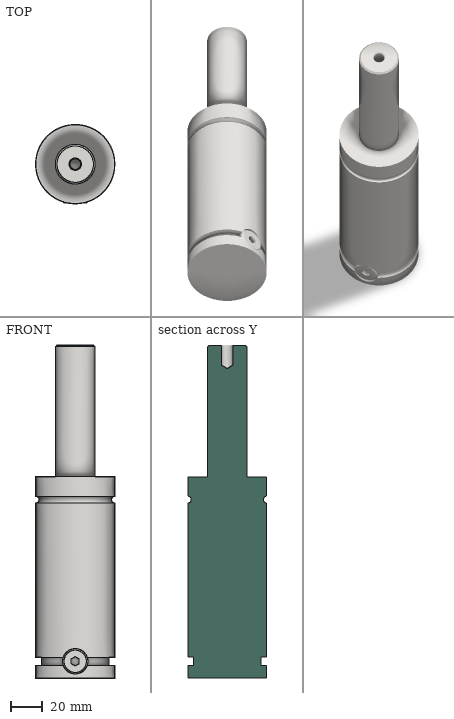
import cadquery as cq
import math

total_height = 210.0
body_diameter = 50.0
body_height = 127.0
rod_diameter = body_diameter / 2
rod_chamfer = 1.0

round_groove_z = 112.5
round_groove_radius = 2.0

square_groove_bottom = 8.2
square_groove_top = 13.2
square_groove_diameter = 42.8

plug_diameter = 16.0
plug_chamfer = 0.95
plug_z = 10.7
plug_recess = 0.6
plug_length = 8.5
socket_across_flats = 5.0
socket_depth = 3.2

rod_hole_diameter = 6.7
rod_hole_depth = 12.5
rod_hole_mouth_diameter = 7.8
drill_point_angle = 118.0


def make_body():
    """Cylinder body with its two ring grooves."""
    body_radius = body_diameter / 2
    body = cq.Workplane("XY").circle(body_radius).extrude(body_height)
    round_groove = (
        cq.Workplane("XZ")
        .center(body_radius, round_groove_z)
        .circle(round_groove_radius)
        .revolve(360, (-body_radius, 0), (-body_radius, 1))
    )
    square_groove = (
        cq.Workplane("XY", origin=(0, 0, square_groove_bottom))
        .circle(body_diameter)
        .circle(square_groove_diameter / 2)
        .extrude(square_groove_top - square_groove_bottom)
    )
    return body.cut(round_groove).cut(square_groove)


def make_rod():
    """Piston rod standing on the body, with a chamfered free end."""
    return (
        cq.Workplane("XY", origin=(0, 0, body_height))
        .circle(rod_diameter / 2)
        .extrude(total_height - body_height)
        .faces(">Z")
        .chamfer(rod_chamfer)
    )


def make_rod_hole():
    """Axial hole in the rod end, as a solid to cut away."""
    hole_radius = rod_hole_diameter / 2
    mouth_radius = rod_hole_mouth_diameter / 2
    mouth_depth = mouth_radius - hole_radius
    point_depth = hole_radius / math.tan(math.radians(drill_point_angle / 2))
    hole_bottom = total_height - rod_hole_depth
    return (
        cq.Workplane("XZ")
        .moveTo(0, total_height)
        .lineTo(mouth_radius, total_height)
        .lineTo(hole_radius, total_height - mouth_depth)
        .lineTo(hole_radius, hole_bottom)
        .lineTo(0, hole_bottom - point_depth)
        .close()
        .revolve(360, (0, 0), (0, 1))
    )


def add_plug(part):
    """Seat a chamfered plug with a hexagon socket in a bore from the -Y side."""
    face_y = plug_recess - body_diameter / 2
    face_plane = cq.Plane(origin=(0, face_y, plug_z), xDir=(1, 0, 0), normal=(0, -1, 0))
    bore = (
        cq.Workplane(face_plane)
        .workplane(offset=-plug_length)
        .circle(plug_diameter / 2)
        .extrude(plug_length + 2 * plug_recess)
    )
    plug = (
        cq.Workplane(face_plane)
        .circle(plug_diameter / 2)
        .extrude(-plug_length)
        .faces("<Y")
        .chamfer(plug_chamfer)
    )
    socket = (
        cq.Workplane(face_plane)
        .polygon(6, socket_across_flats, circumscribed=True)
        .extrude(-socket_depth)
    )
    return part.cut(bore).union(plug).cut(socket)


result = add_plug(make_body().union(make_rod()).cut(make_rod_hole()))